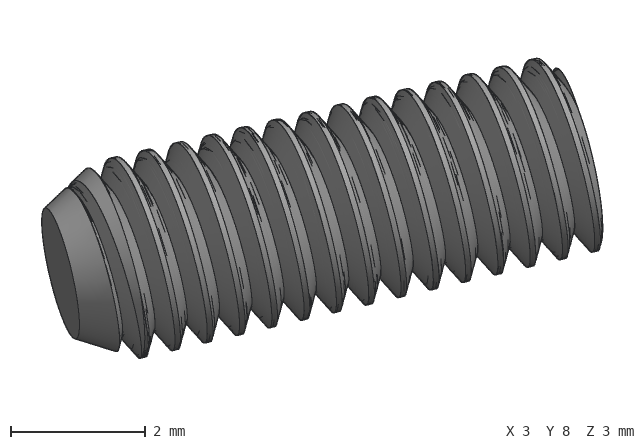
import cadquery as cq
import math

length = 8
outer_diameter = 3.0
tip_diameter = 2
tip_half_angle = 30

thread_turns = 16
pitch = length / thread_turns
crest_width = 0.09
flank_half_angle = 30
groove_offset = 0.12

outer_radius = outer_diameter / 2
tip_radius = tip_diameter / 2
tip_length = (outer_radius - tip_radius) / math.tan(math.radians(tip_half_angle))
flank_width = (pitch - crest_width) / 2
groove_depth = flank_width / math.tan(math.radians(flank_half_angle))
root_radius = outer_radius - groove_depth


def point_on_circle(radius, angle):
    return (radius * math.cos(angle), radius * math.sin(angle))


def make_threaded_rod():
    """Threaded rod along Z, made by twisting its cross-section once per pitch.

    In cross-section each straight flank is a spiral whose radius grows evenly
    with angle from the groove root to the crest, and the crest is an arc.
    """
    flank_spline_spans = 16
    flank_angle = 2 * math.pi * flank_width / pitch
    root_angle = -2 * math.pi * groove_offset / pitch

    def rising_flank(t):
        return point_on_circle(root_radius + groove_depth * t, root_angle + flank_angle * t)

    def falling_flank(t):
        return point_on_circle(outer_radius - groove_depth * t, root_angle - flank_angle * (1 - t))

    crest_middle = point_on_circle(outer_radius, root_angle + math.pi)
    return (
        cq.Workplane("XY")
        .parametricCurve(rising_flank, N=flank_spline_spans, makeWire=False)
        .moveTo(*rising_flank(1))
        .threePointArc(crest_middle, falling_flank(0))
        .parametricCurve(falling_flank, N=flank_spline_spans, makeWire=False)
        .wire()
        .twistExtrude(length, 360 * thread_turns)
    )


def make_envelope():
    """Conical tip and a clear cylinder beyond it, containing the whole rod along Z."""
    clearance = 0.16
    cone_growth = clearance / math.tan(math.radians(tip_half_angle))
    clear_radius = outer_radius + clearance
    return (
        cq.Workplane("XZ")
        .polyline([
            (0, 0),
            (tip_radius, 0),
            (clear_radius, tip_length + cone_growth),
            (clear_radius, length),
            (0, length),
        ])
        .close()
        .revolve(360, (0, 0, 0), (0, 1, 0))
    )


screw = make_threaded_rod().intersect(make_envelope())
result = screw.solids().rotate((0, 0, 0), (1, 0, 0), -90)